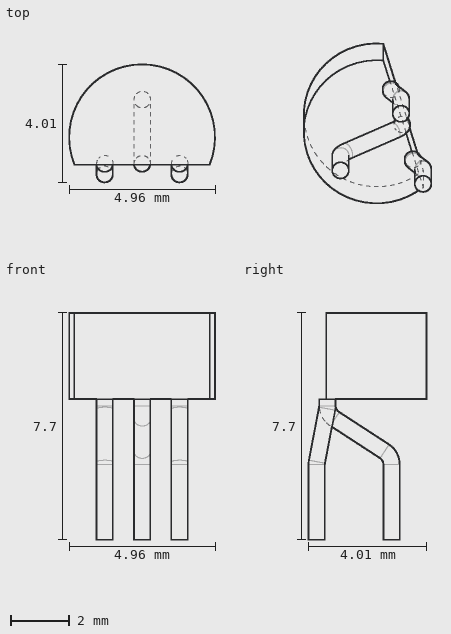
import cadquery as cq
import math

BODY_RADIUS = 2.48
BODY_DEPTH = 3.42
BODY_HEIGHT = 2.925
FLAT_Y = BODY_RADIUS - BODY_DEPTH

LEAD_DIAMETER = 0.56
LEAD_LENGTH = 7.7 - BODY_HEIGHT
LEAD_PITCH = 1.27
LEAD_ROOT_Y = FLAT_Y + 0.05
BEND_RADIUS = 0.54
UPPER_STRAIGHT = 0.215
LOWER_STRAIGHT = 2.56
ROW_SPACING = 2 * LEAD_PITCH
OUTER_OFFSET = -0.36
MIDDLE_OFFSET = OUTER_OFFSET + ROW_SPACING


def make_body():
    """Cylinder with a flat, standing on the plane Z = 0."""
    half_flat = math.sqrt(BODY_RADIUS**2 - FLAT_Y**2)
    return (
        cq.Workplane("XY")
        .moveTo(-half_flat, FLAT_Y)
        .threePointArc((0, BODY_RADIUS), (half_flat, FLAT_Y))
        .close()
        .extrude(BODY_HEIGHT)
    )


def make_lead(x, offset):
    """Wire whose lower part is shifted along Y by offset, through two equal and opposite bends."""
    side = math.copysign(1, offset)
    shift = abs(offset)
    drop = LEAD_LENGTH - UPPER_STRAIGHT - LOWER_STRAIGHT

    centre_shift = shift - 2 * BEND_RADIUS
    slope_length = math.sqrt(centre_shift**2 + drop**2 - (2 * BEND_RADIUS) ** 2)
    bend_angle = math.atan2(centre_shift, drop) + math.atan2(2 * BEND_RADIUS, slope_length)

    def upper_bend(angle):
        sideways = BEND_RADIUS * (1 - math.cos(angle))
        down = BEND_RADIUS * math.sin(angle)
        return (LEAD_ROOT_Y + side * sideways, -UPPER_STRAIGHT - down)

    def lower_bend(angle):
        y, z = upper_bend(angle)
        return (2 * LEAD_ROOT_Y + offset - y, -2 * UPPER_STRAIGHT - drop - z)

    path = (
        cq.Workplane("YZ", origin=(x, 0, 0))
        .moveTo(LEAD_ROOT_Y, 0)
        .lineTo(*upper_bend(0))
        .threePointArc(upper_bend(bend_angle / 2), upper_bend(bend_angle))
        .lineTo(*lower_bend(bend_angle))
        .threePointArc(lower_bend(bend_angle / 2), lower_bend(0))
        .lineTo(LEAD_ROOT_Y + offset, -LEAD_LENGTH)
    )
    return cq.Workplane("XY", origin=(x, LEAD_ROOT_Y, 0)).circle(LEAD_DIAMETER / 2).sweep(path)


body = make_body()
middle_lead = make_lead(0, MIDDLE_OFFSET)
outer_leads = [make_lead(x, OUTER_OFFSET) for x in (-LEAD_PITCH, LEAD_PITCH)]

result = cq.Compound.makeCompound(
    [body.val(), middle_lead.val(), *[lead.val() for lead in outer_leads]]
)